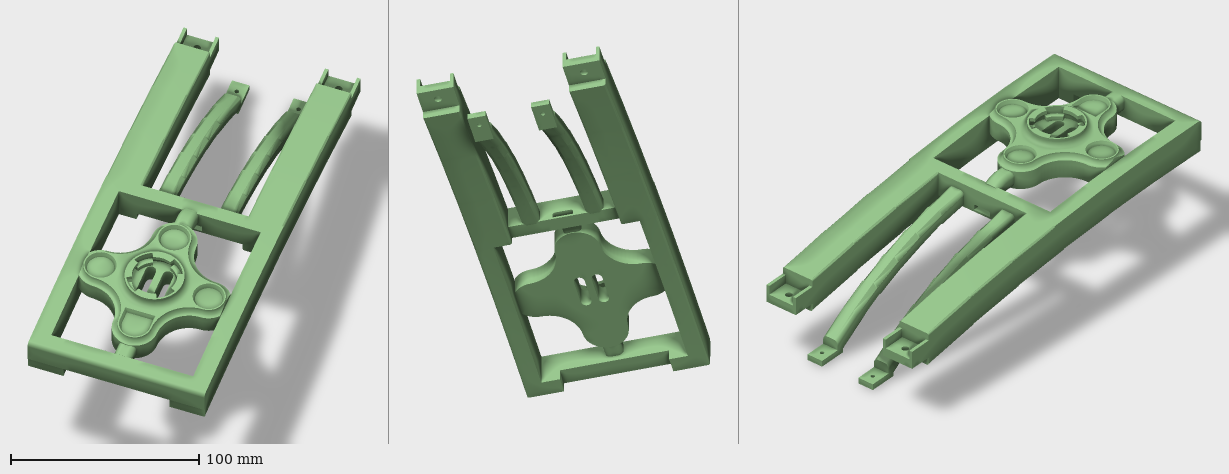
import cadquery as cq
import math

frame_width = 100.0
total_length = 242.1
top_height = 8.2
total_height = 67.0
half_width = frame_width / 2
tail_bottom = top_height - total_height

rail_height = 20.0
rail_width = 10.0
arm_width = 20.0
arm_edge_round = 1.0
crest_y = 24.2
bend_radius = 1176.8
body_end = 228.3
arm_center_x = half_width - arm_width / 2
opening_half = half_width - rail_width

front_bar_depth = 9.7
front_bar_round = 2.5
front_bar_height = 13.3
front_step = 0.7
crossbar_start = 114.5
crossbar_end = 122.8
crossbar_bottom = -18.6

slot_recess_width = 14.0
slot_recess_depth = 3.6
slot_recess_top = -13.5
slot_bottom = -17.5
slot_width = 11.1
slot_top = -14.0
slot_corner_round = 1.5

fork_top = -22.0
fork_bottom = -33.0
fork_floor = 5.3
fork_wall = 2.0
fork_hole_diameter = 4.0
fork_hole_y = 235.5

leg_size = 10.0
leg_edge_round = 2.5
leg_spacing = 34.9
leg_inner_radius = 224.0
leg_bend_y = 94.0
leg_start_bottom = -17.0
lug_thickness = 3.6
lug_front = 224.0
lug_end = 241.5
lug_hole_diameter = 2.5
lug_hole_y = 235.4

tube_size = 10.0
tube_edge_round = 3.1
tube_bend_y = 106.0
tube_bend_radius = 11.0
tube_bend_angle = 28.0
tube_joint_depth = 1.2

hub_y = 59.93
lobe_distance = 30.5
lobe_radius = 12.3
hollow_radius = lobe_distance - lobe_radius
hub_top = 3.6
hub_bottom = -10.5
cove_radius = 3.1
hub_half_span = 40.0

boss_diameter = 32.0
boss_foot_round = 3.0
bore_diameter = 30.0
bore_floor = 1.0
lip_diameter = 24.2
stop_top = 3.6
stop_angle = 42.0
hook_bottom = 6.0
hook_angle = 90.0 - stop_angle
floor_slot_width = 5.8
floor_slot_length = 20.5
floor_slot_spacing = 9.7

recess_diameter = 17.0
recess_floor_diameter = 14.5
recess_depth = 2.5


def block(x0, x1, y0, y1, z0, z1):
    return cq.Workplane("XY").box(x1 - x0, y1 - y0, z1 - z0, centered=False).translate((x0, y0, z0))


def cylinder(diameter, z0, z1):
    return cq.Workplane("XY", origin=(0, 0, z0)).circle(diameter / 2).extrude(z1 - z0)


def slab(y0, y1, z0=tail_bottom):
    """Block wider and higher than the frame between two places along Y."""
    return block(-frame_width, frame_width, y0, y1, z0, top_height)


def turned_about_z(solid, angle):
    return solid.rotate((0, 0, 0), (0, 0, 1), angle)


def curve_drop(y):
    """Fall of the rail's arc below its crest at a place along Y."""
    return bend_radius - math.sqrt(bend_radius**2 - (y - crest_y) ** 2)


def rail_profile(x0, width):
    """Curved side profile of the rails, over the full length, extruded along X."""
    middle = body_end / 2

    def upper(y):
        return (y, -curve_drop(y))

    def lower(y):
        return (y, -rail_height - curve_drop(y))

    return (
        cq.Workplane("YZ", origin=(x0, 0, 0))
        .moveTo(*upper(0))
        .threePointArc(upper(middle), upper(body_end))
        .lineTo(*lower(body_end))
        .threePointArc(lower(middle), lower(0))
        .close()
        .extrude(width)
    )


def make_frame():
    """Rails, front bar, feet and crossbar, all cut from one wide curved profile."""
    wide = rail_profile(-half_width, frame_width)
    wide = wide.edges("%CIRCLE").edges("<Z").fillet(arm_edge_round)
    window = block(-opening_half, opening_half, 0, crossbar_start, tail_bottom, top_height)
    rails = wide.intersect(slab(0, crossbar_start)).cut(window)
    front = wide.intersect(slab(0, front_bar_depth))
    foot_gap = block(
        -half_width + arm_width,
        half_width - arm_width,
        0,
        front_bar_depth,
        tail_bottom,
        -front_bar_height,
    )
    crossbar = wide.intersect(slab(crossbar_start, crossbar_end, crossbar_bottom))
    frame = rails.union(front.cut(foot_gap)).union(crossbar)
    frame = frame.faces("<Y").edges(">Z").fillet(front_bar_round)
    return frame.cut(slab(0, front_step).translate((0, 0, -front_bar_height - top_height)))


def make_arm():
    """One arm from the crossbar to its forked tail, centred on X = 0."""
    arm = rail_profile(-arm_width / 2, arm_width).edges("%CIRCLE").fillet(arm_edge_round)
    arm = arm.intersect(slab(crossbar_start, body_end))
    fork = block(-arm_width / 2, arm_width / 2, body_end, total_length, fork_bottom, fork_top)
    channel_half = arm_width / 2 - fork_wall
    channel = block(
        -channel_half, channel_half, body_end, total_length, fork_bottom + fork_floor, fork_top
    )
    hole = (
        cq.Workplane("XY", origin=(0, fork_hole_y, fork_bottom))
        .circle(fork_hole_diameter / 2)
        .extrude(fork_floor)
    )
    return arm.union(fork.cut(channel).cut(hole))


def make_leg():
    """One curved leg with a flat, drilled lug at its end, centred on X = 0."""
    bend = cq.Workplane("YZ").center(leg_bend_y, leg_start_bottom - leg_inner_radius)
    outer_radius = leg_inner_radius + leg_size
    ring = (
        bend.circle(outer_radius)
        .circle(leg_inner_radius)
        .extrude(leg_size / 2, both=True)
        .edges("%CIRCLE")
        .fillet(leg_edge_round)
    )
    leg = ring.intersect(slab((crossbar_start + crossbar_end) / 2, body_end))
    lug = block(-leg_size / 2, leg_size / 2, lug_front, lug_end, tail_bottom, tail_bottom + lug_thickness)
    hole = (
        cq.Workplane("XY", origin=(0, lug_hole_y, tail_bottom))
        .circle(lug_hole_diameter / 2)
        .extrude(lug_thickness)
    )
    return leg.union(lug.cut(hole))


def make_tube():
    """Rounded square tube from the front bar through the hub, bent down into the crossbar."""
    axis_z = -tube_size / 2
    section = cq.Workplane("XZ", origin=(0, front_bar_depth, 0)).center(0, axis_z)
    outline = cq.Sketch().rect(tube_size, tube_size).vertices().fillet(tube_edge_round)

    def bend_point(angle):
        return (
            tube_bend_y + tube_bend_radius * math.sin(angle),
            axis_z - tube_bend_radius * (1 - math.cos(angle)),
        )

    angle = math.radians(tube_bend_angle)
    path = (
        cq.Workplane("YZ")
        .moveTo(front_bar_depth, axis_z)
        .lineTo(tube_bend_y, axis_z)
        .threePointArc(bend_point(angle / 2), bend_point(angle))
        .polarLine(2 * tube_size, -tube_bend_angle)
    )
    tube = section.placeSketch(outline).sweep(path)
    return tube.intersect(slab(0, crossbar_start + tube_joint_depth))


def hub_outline():
    """Closed outline of four round lobes joined by hollow quarter arcs."""
    tip = lobe_distance + lobe_radius
    hollow_middle = lobe_distance - hollow_radius * math.sqrt(0.5)
    wire = cq.Workplane("XY", origin=(0, 0, hub_bottom)).moveTo(lobe_distance, -lobe_radius)
    for cosine, sine in ((1, 0), (0, 1), (-1, 0), (0, -1)):

        def turned(x, y):
            return (x * cosine - y * sine, x * sine + y * cosine)

        wire = wire.threePointArc(turned(tip, 0), turned(lobe_distance, lobe_radius))
        wire = wire.threePointArc(
            turned(hollow_middle, hollow_middle), turned(lobe_radius, lobe_distance)
        )
    return wire.close()


def cove_cutter(foot_radius, crest_radius, end_radius, angle):
    """Cove along an arc of the outline, turned about Z from the XZ plane.

    The cove meets the wall at foot_radius and the top face at crest_radius.
    """
    shoulder = hub_top - cove_radius
    bulge = cove_radius * math.sqrt(0.5)
    middle_x = foot_radius + (crest_radius - foot_radius) / cove_radius * bulge
    return (
        cq.Workplane("XZ")
        .moveTo(end_radius, hub_top)
        .lineTo(crest_radius, hub_top)
        .threePointArc((middle_x, hub_top - bulge), (foot_radius, shoulder))
        .lineTo(end_radius, shoulder)
        .close()
        .revolve(angle, (0, 0, 0), (0, 1, 0))
    )


def make_hub_body():
    """Lobed body with a cove along its top edge, cut off flat inside the rails."""
    hub = hub_outline().extrude(hub_top - hub_bottom)
    lobe_cove = cove_cutter(lobe_radius, lobe_radius - cove_radius, lobe_radius + cove_radius, 180)
    hollow_cove = cove_cutter(hollow_radius, hollow_radius + cove_radius, 0, 90)
    lobe_cove = turned_about_z(lobe_cove, -90).translate((lobe_distance, 0, 0))
    hollow_cove = turned_about_z(hollow_cove, 180).translate((lobe_distance, lobe_distance, 0))
    for quarter in range(4):
        hub = hub.cut(turned_about_z(lobe_cove, 90 * quarter))
        hub = hub.cut(turned_about_z(hollow_cove, 90 * quarter))
    reach = lobe_distance + lobe_radius
    return hub.intersect(block(-hub_half_span, hub_half_span, -reach, reach, hub_bottom, hub_top))


def make_boss():
    """Round boss with a coved foot, standing on the hub's top face."""
    boss_radius = boss_diameter / 2
    foot_radius = boss_radius + boss_foot_round
    bulge = boss_foot_round * (1 - math.sqrt(0.5))
    return (
        cq.Workplane("XZ")
        .moveTo(0, hub_top)
        .lineTo(foot_radius, hub_top)
        .threePointArc((boss_radius + bulge, hub_top + bulge), (boss_radius, hub_top + boss_foot_round))
        .lineTo(boss_radius, top_height)
        .lineTo(0, top_height)
        .close()
        .revolve(360, (0, 0, 0), (0, 1, 0))
    )


def bore_segment(z0, z1, angle):
    """Ring segment reaching inward from the boss wall, centred on the X axis."""
    return (
        cq.Workplane("XZ")
        .moveTo(lip_diameter / 2, z0)
        .lineTo(boss_diameter / 2, z0)
        .lineTo(boss_diameter / 2, z1)
        .lineTo(lip_diameter / 2, z1)
        .close()
        .revolve(angle, (0, 0, 0), (0, 1, 0))
        .rotate((0, 0, 0), (0, 0, 1), -angle / 2)
    )


def lobe_recess(squared):
    """Recess at the origin with sloping walls; a squared one has straight sides toward +Y."""
    radius = recess_diameter / 2
    taper = math.degrees(math.atan((recess_diameter - recess_floor_diameter) / 2 / recess_depth))
    outline = cq.Workplane("XY", origin=(0, 0, hub_top))
    if squared:
        outline = (
            outline.moveTo(-radius, 0)
            .threePointArc((0, -radius), (radius, 0))
            .lineTo(radius, radius)
            .lineTo(-radius, radius)
            .close()
        )
    else:
        outline = outline.circle(radius)
    return outline.extrude(-recess_depth, taper=taper)


def make_hub():
    """Hub with its boss, bore, floor slots and lobe recesses, centred on the Z axis."""
    hub = make_hub_body().union(make_boss())
    hook = bore_segment(hook_bottom, top_height, hook_angle)
    stop = bore_segment(bore_floor, stop_top, stop_angle)
    bore = cylinder(bore_diameter, bore_floor, top_height)
    for quarter in range(4):
        bore = bore.cut(turned_about_z(hook, 90 * quarter))
        bore = bore.cut(turned_about_z(stop, 45 + 90 * quarter))
    floor_slots = (
        cq.Workplane("XY", origin=(0, 0, hub_bottom))
        .rarray(floor_slot_spacing, 2.5, 2, 1)
        .slot2D(floor_slot_length, floor_slot_width, 90)
        .extrude(bore_floor - hub_bottom)
    )
    hub = hub.cut(bore).cut(floor_slots)
    for quarter in range(4):
        recess = lobe_recess(squared=quarter == 0)
        hub = hub.cut(turned_about_z(recess.translate((0, -lobe_distance, 0)), 90 * quarter))
    return hub


def make_slot():
    """Round-cornered slot through the crossbar, with a wider recess on its front side."""
    slot = block(-slot_width / 2, slot_width / 2, crossbar_start, crossbar_end, slot_bottom, slot_top)
    slot = slot.edges("|Y and >Z").fillet(slot_corner_round)
    recess_half = slot_recess_width / 2
    recess_end = crossbar_start + slot_recess_depth
    recess = block(-recess_half, recess_half, crossbar_start, recess_end, slot_bottom, slot_recess_top)
    return slot.union(recess)


result = make_frame().cut(make_slot())
for side in (-1, 1):
    result = result.union(make_arm().translate((side * arm_center_x, 0, 0)))
    result = result.union(make_leg().translate((side * leg_spacing / 2, 0, 0)))
hub = make_hub().translate((0, hub_y, 0))
tube = make_tube().cut(cylinder(2 * lobe_distance, hub_bottom, hub_top).translate((0, hub_y, 0)))
result = result.union(tube).union(hub)